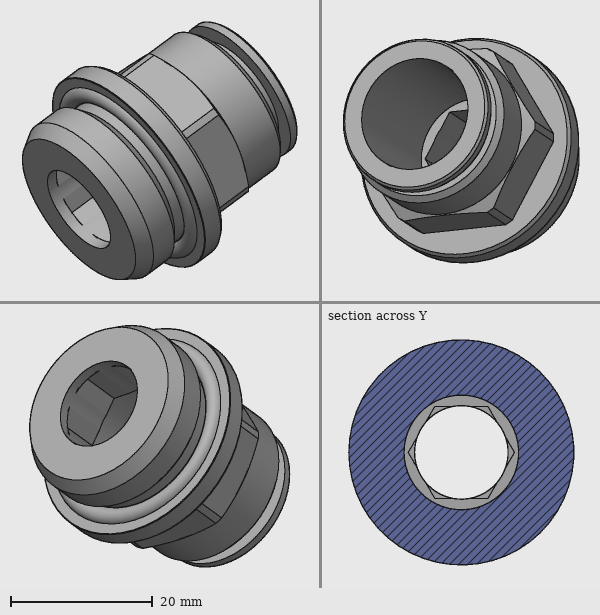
import cadquery as cq
import math

LENGTH = 32.0

thread_d = 26.3
thread_tip_d = 23.7
thread_tip_length = 2.25
thread_end = 6.2
undercut_d = 23.6
undercut_start = 7.5

flange_d = 32.0
flange_start = 9.47
flange_end = 13.02
flange_edge_break = 0.1
flange_chamfer_length = 0.55
flange_chamfer_depth = 0.4
seal_section_r = 1.3
seal_front = 8.58

hex_flats = 24.0
hex_corner_d = 27.07
hex_end = 21.02
hex_chamfer_length = 0.93

body_d = 23.7
body_chamfer_start = 27.68
body_end = 28.5
body_end_d = 22.0
cone_d = 20.22
neck_d = 16.95
neck_start = 29.45
collar_d = 22.0
collar_start = 30.43
collar_chamfer = 0.35

bore_d = 13.2
key_flats = 13.0
key_start = 1.7
tube_d = 16.15
tube_socket_start = 9.28


def turned(profile):
    """Revolve (diameter, y) points, closed along the axis, about the Y axis."""
    points = [(d / 2, y) for d, y in profile]
    outline = [(0, profile[0][1])] + points + [(0, profile[-1][1])]
    return cq.Workplane("XY").polyline(outline).close().revolve(360, (0, 0), (0, 1))


def cylinder(diameter, start, end):
    return turned([(diameter, start), (diameter, end)])


def hexagon(flats, start, end):
    """Hexagonal prism along Y with two corners on the X axis."""
    corner_d = flats / math.cos(math.pi / 6)
    plane = cq.Workplane("XZ", origin=(0, start, 0))
    return plane.polygon(6, corner_d).extrude(start - end)


def threaded_end():
    return turned([
        (thread_tip_d, 0),
        (thread_d, thread_tip_length),
        (thread_d, thread_end),
        (undercut_d, undercut_start),
        (undercut_d, flange_end),
    ])


def flange():
    return turned([
        (flange_d - 2 * flange_edge_break, flange_start),
        (flange_d, flange_start + flange_edge_break),
        (flange_d, flange_end - flange_chamfer_length),
        (flange_d - 2 * flange_chamfer_depth, flange_end),
    ])


def seal_ring():
    center_radius = undercut_d / 2 + seal_section_r
    section = cq.Workplane("XY").center(center_radius, seal_front + seal_section_r).circle(seal_section_r)
    return section.revolve(360, (-center_radius, 0), (-center_radius, 1))


def spanner_hexagon():
    corner_limit = turned([
        (hex_corner_d, flange_start),
        (hex_corner_d, hex_end - hex_chamfer_length),
        (body_d, hex_end),
    ])
    return hexagon(hex_flats, flange_start, hex_end).intersect(corner_limit)


def body_and_collar():
    return turned([
        (body_d, flange_start),
        (body_d, body_chamfer_start),
        (body_end_d, body_end),
        (cone_d, body_end),
        (neck_d, neck_start),
        (neck_d, collar_start),
        (collar_d, collar_start),
        (collar_d, LENGTH - collar_chamfer),
        (collar_d - 2 * collar_chamfer, LENGTH),
    ])


def passage():
    through_bore = cylinder(bore_d, 0, LENGTH)
    key_socket = hexagon(key_flats, key_start, tube_socket_start)
    tube_socket = cylinder(tube_d, tube_socket_start, LENGTH)
    return through_bore.union(key_socket).union(tube_socket)


solid = threaded_end().union(flange()).union(seal_ring())
solid = solid.union(spanner_hexagon()).union(body_and_collar())
result = solid.cut(passage())